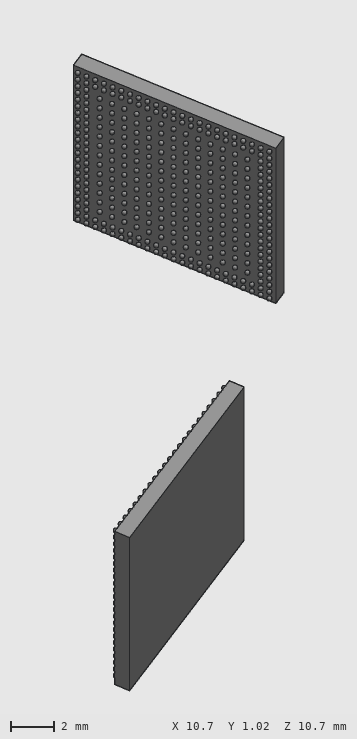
import cadquery as cq

body_side = 10.7
overall_depth = 1.02
ball_height = 0.22
body_depth = overall_depth - ball_height

ball_diameter = 0.25
ball_radius = ball_diameter / 2

ring_count = 2
perimeter_balls_per_side = 23
perimeter_pitch = 0.46

inner_balls_per_side = 13
inner_span = 7.8
inner_pitch = inner_span / (inner_balls_per_side - 1)


def grid_points(count, pitch, kept_rings):
    """Centred square grid of points, keeping only its outermost rings."""
    points = []
    for column in range(count):
        for row in range(count):
            ring = min(column, row, count - 1 - column, count - 1 - row)
            if ring < kept_rings:
                x = (column - (count - 1) / 2) * pitch
                z = (row - (count - 1) / 2) * pitch
                points.append((x, z))
    return points


def make_balls(points):
    """Spheres partly sunk into the ball face, which lies at Y = 0."""
    center_y = ball_radius - ball_height
    ball = cq.Workplane("XY").sphere(ball_radius).val()
    return [ball.translate(cq.Vector(x, center_y, z)) for x, z in points]


ball_points = grid_points(perimeter_balls_per_side, perimeter_pitch, ring_count)
ball_points += grid_points(inner_balls_per_side, inner_pitch, inner_balls_per_side)

body = cq.Workplane("XY").box(body_side, body_depth, body_side, centered=(True, False, True))
result = cq.Workplane("XY").newObject([body.val().fuse(*make_balls(ball_points))])